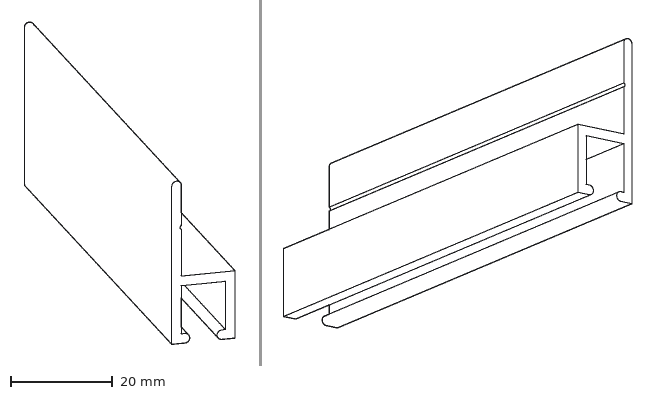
import cadquery as cq

length = 100.0
depth = 13.0
height = 33.8

wall = 2.0
channel_height = 14.0

lip_reach = 1.7
lip_thickness = wall
lip_radius = lip_thickness / 2

groove_radius = 0.4
groove_depth = 0.3
groove_z = 24.1

front = -depth / 2
back = depth / 2
bottom = -height / 2
top = height / 2


def bar(y_min, y_max, z_min, z_max):
    """Rectangular bar running the full length between the given Y and Z limits."""
    size_y = y_max - y_min
    size_z = z_max - z_min
    return cq.Workplane("XY").box(length, size_y, size_z).translate(
        (0, (y_min + y_max) / 2, (z_min + z_max) / 2)
    )


def rod(y, z, radius):
    """Round rod running the full length, centred at the given Y and Z."""
    end_plane = cq.Workplane("YZ", origin=(-length / 2, 0, 0))
    return end_plane.center(y, z).circle(radius).extrude(length)


def plate():
    """Upright plate with a fully rounded top edge."""
    crest_radius = wall / 2
    shoulder = top - crest_radius
    flat_plate = bar(front, front + wall, bottom, shoulder)
    return flat_plate.union(rod(front + crest_radius, shoulder, crest_radius))


def channel():
    """Shelf and rear wall that form a downward-opening channel behind the plate."""
    shelf_top = bottom + channel_height
    shelf = bar(front, back, shelf_top - wall, shelf_top)
    rear_wall = bar(back - wall, back, bottom, shelf_top)
    return shelf.union(rear_wall)


def lip(wall_face, direction):
    """Round-nosed lip growing from a channel wall face in the given Y direction."""
    nose_center = wall_face + direction * (lip_reach - lip_radius)
    root = wall_face - direction * wall / 2
    flat = bar(min(root, nose_center), max(root, nose_center), bottom, bottom + lip_thickness)
    return flat.union(rod(nose_center, bottom + lip_radius, lip_radius))


def groove():
    """Cutter for the shallow round groove in the back face of the plate."""
    center_y = front + wall + groove_radius - groove_depth
    return rod(center_y, bottom + groove_z, groove_radius)


profile = plate().union(channel())
profile = profile.union(lip(front + wall, 1))
profile = profile.union(lip(back - wall, -1))

result = profile.cut(groove())